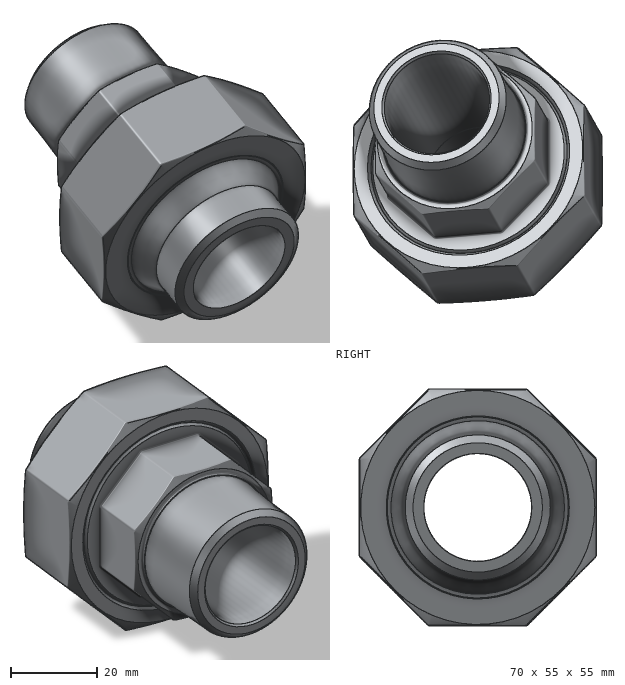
import cadquery as cq
import math


length = 70.0
bore_dia = 25.0

corner_fillet = 1.0
bevel_angle = 20.0
bevel_fillet = 0.35
octagon_sides = 8

nut_start = 34.9
nut_length = 20.1
nut_flats = 55.0
nut_face_dia = 54.3
nut_bore_dia = 46.6
nut_mouth_dia = 48.0
nut_lip = 5.0
nut_lip_dia = 42.5
nut_end = nut_start + nut_length
nut_shoulder = nut_end - nut_lip

tip_dia = 29.75
thread_dia = 32.55
thread_root_dia = 33.7
shoulder_dia = 34.0
octagon_start = 19.95
octagon_flats = 38.0
octagon_face_dia = 36.8
root_fillet = 0.5
mouth_chamfer = 0.5
flange_face_dia = 45.5
tip_chamfer = (thread_dia - tip_dia) / 2

collar_length = 4.0
neck_dia = 42.0
weld_end_dia = 33.7
weld_face_dia = 30.0
weld_start = 60.7
cone_dia = 40.25
weld_bevel_angle = 60.0
joint = nut_shoulder - collar_length


def turn(sketch):
    """Revolve a closed X-radius outline around the X axis."""
    return sketch.close().revolve(360, (0, 0, 0), (1, 0, 0))


def cylinder(start, end, diameter):
    """Solid cylinder along X."""
    return cq.Workplane("YZ", origin=(start, 0, 0)).circle(diameter / 2).extrude(end - start)


def bevel_cone(face_x, face_dia, inward, depth):
    """Cone that trims octagon corners, opening from face_dia along the inward direction (+1 or -1)."""
    face_radius = face_dia / 2
    far_x = face_x + inward * depth
    far_radius = face_radius + depth / math.tan(math.radians(bevel_angle))
    outline = (
        cq.Workplane("XY")
        .moveTo(face_x, 0)
        .lineTo(face_x, face_radius)
        .lineTo(far_x, far_radius)
        .lineTo(far_x, 0)
    )
    return turn(outline)


def octagon_prism(start, end, flats):
    """Octagonal bar along X, flats facing Y and Z, with rounded long edges."""
    corner_dia = flats / math.cos(math.pi / octagon_sides)
    return (
        cq.Workplane("YZ", origin=(start, 0, 0))
        .transformed(rotate=(0, 0, 180 / octagon_sides))
        .polygon(octagon_sides, corner_dia)
        .extrude(end - start)
        .edges("|X")
        .fillet(corner_fillet)
    )


def round_bevels(body):
    """Round the outer border of every conical bevel face of an octagon."""
    return body.faces("%CONE").edges("not (%CIRCLE or %LINE)").fillet(bevel_fillet)


def make_nut():
    """Octagonal nut, bevelled at both ends, with a countersunk bore and an inward lip."""
    body = octagon_prism(nut_start, nut_end, nut_flats)
    body = body.intersect(bevel_cone(nut_start, nut_face_dia, 1, nut_length))
    body = round_bevels(body.intersect(bevel_cone(nut_end, nut_face_dia, -1, nut_length)))

    bore_radius = nut_bore_dia / 2
    mouth_radius = nut_mouth_dia / 2
    lip_radius = nut_lip_dia / 2
    cavity = (
        cq.Workplane("XY")
        .moveTo(nut_start, 0)
        .lineTo(nut_start, mouth_radius)
        .lineTo(nut_start + mouth_radius - bore_radius, bore_radius)
        .lineTo(nut_shoulder, bore_radius)
        .lineTo(nut_shoulder, lip_radius)
        .lineTo(nut_end, lip_radius)
        .lineTo(nut_end, 0)
    )
    return body.cut(turn(cavity))


def flare_midpoint(start_x, start_radius, end_x, end_radius):
    """Middle of the arc that leaves its start parallel to X and rises to its end."""
    run = end_x - start_x
    rise = end_radius - start_radius
    arc_radius = (run ** 2 + rise ** 2) / (2 * rise)
    half_sweep = math.asin(run / arc_radius) / 2
    return (
        start_x + arc_radius * math.sin(half_sweep),
        start_radius + arc_radius * (1 - math.cos(half_sweep)),
    )


def make_thread_end():
    """Plain threaded end: tip chamfer, a barrel that flares along an arc, and a root fillet."""
    thread_radius = thread_dia / 2
    root_radius = thread_root_dia / 2
    shoulder_radius = shoulder_dia / 2
    fillet_start = octagon_start - root_fillet
    fillet_reach = root_fillet * math.sqrt(0.5)
    flare_mid = flare_midpoint(tip_chamfer, thread_radius, fillet_start, root_radius)
    fillet_mid = (fillet_start + fillet_reach, shoulder_radius + root_fillet - fillet_reach)
    outline = (
        cq.Workplane("XY")
        .lineTo(0, tip_dia / 2)
        .lineTo(tip_chamfer, thread_radius)
        .threePointArc(flare_mid, (fillet_start, root_radius))
        .lineTo(fillet_start, shoulder_radius)
        .threePointArc(fillet_mid, (octagon_start, shoulder_radius + root_fillet))
        .lineTo(octagon_start, 0)
    )
    return turn(outline)


def make_nipple():
    """Male end: threaded barrel, octagon, and a flange that sits inside the nut."""
    octagon_length = nut_start - octagon_start
    octagon = octagon_prism(octagon_start, nut_start, octagon_flats)
    octagon = round_bevels(octagon.intersect(bevel_cone(octagon_start, octagon_face_dia, 1, octagon_length)))

    flange_chamfer = (nut_bore_dia - flange_face_dia) / 2
    flange = cylinder(nut_start, joint, nut_bore_dia).faces("<X").chamfer(flange_chamfer)

    body = octagon.union(flange)
    flange_face = body.faces("|X").faces("<X[1]")
    root_edges = flange_face.val().innerWires()[0].Edges()
    body = body.newObject(root_edges).fillet(root_fillet)

    body = body.union(make_thread_end())
    body = body.cut(cylinder(0, joint, bore_dia))
    mouth_edge = body.faces("<X").val().innerWires()[0].Edges()
    return body.newObject(mouth_edge).chamfer(mouth_chamfer)


def make_tail():
    """Weld-on tail: collar behind the nut lip, neck, cone and a bevelled weld end."""
    collar_radius = nut_bore_dia / 2
    neck_radius = neck_dia / 2
    weld_radius = weld_end_dia / 2
    bore_radius = bore_dia / 2
    bevel_depth = (weld_radius - weld_face_dia / 2) / math.tan(math.radians(weld_bevel_angle))
    outline = (
        cq.Workplane("XY")
        .moveTo(joint, bore_radius)
        .lineTo(joint, collar_radius)
        .lineTo(nut_shoulder, collar_radius)
        .lineTo(nut_shoulder, neck_radius)
        .lineTo(nut_end, neck_radius)
        .lineTo(nut_end, cone_dia / 2)
        .lineTo(weld_start, weld_radius)
        .lineTo(length - bevel_depth, weld_radius)
        .lineTo(length, weld_face_dia / 2)
        .lineTo(length, bore_radius)
    )
    return turn(outline)


nut = make_nut().solids()
nipple = make_nipple().solids()
tail = make_tail()
result = cq.Compound.makeCompound([nut.val(), nipple.val(), tail.val()])